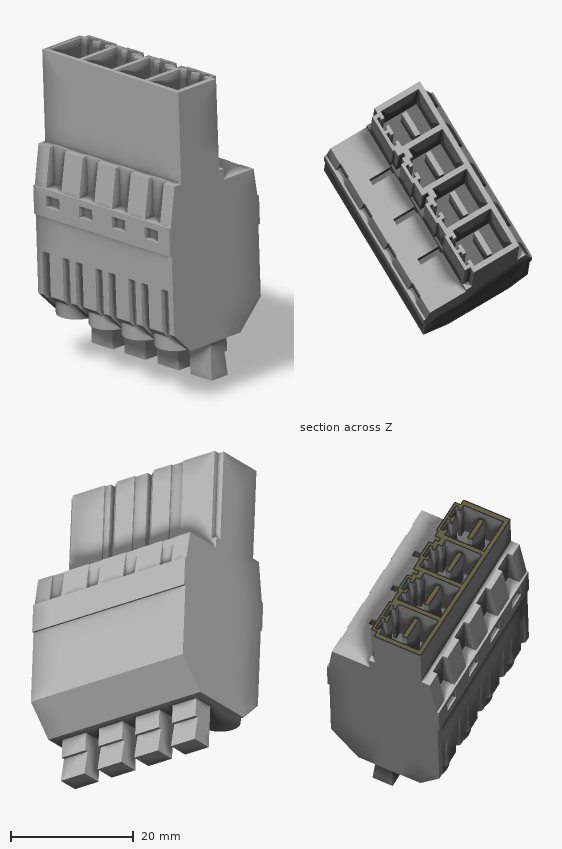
import cadquery as cq


WIDTH = 31.53
TILT = 2.5
POLES = 4
PITCH = 7.62
FIRST_POLE = 4.42
FIRST_CHAMBER = 4.3

TOP_Z = 0
SHOULDER_Z = -15.9
SHELF_Z = -17.81
BAND_TOP_Z = -22.74
BAND_BOTTOM_Z = -27.7
BODY_BOTTOM_Z = -45.1
PIN_BOTTOM_Z = -52.5

BAND_Y = 10.3
BODY_Y = 9.95
TOWER_FRONT_Y = -7.26
TOWER_BACK_Y = 2.44
SHOULDER_Y = -8.8
SHELF_Y = 9.27
FRONT_CHAMFER = 3.55
BACK_CHAMFER = 4.9

CHAMBER_WIDTH = 6.75
CHAMBER_FRONT_Y = -6.42
CHAMBER_BACK_Y = 0.8
CHAMBER_DEPTH = 17
CORNER_NOTCH_WIDTH = 1.05
CORNER_NOTCH_Y = 1.4
BLADE_WIDTH = 4.4
BLADE_Y = (-3.6, -2.72)
BLADE_TOP_Z = -8

KEY_HEAD_WIDTH = 2.4
KEY_HEAD_Y = (1.38, 1.93)
KEY_STEM_WIDTH = 1.3
KEY_PAIR_OFFSET = 1.48
INNER_LEDGE_X = 1.9
INNER_LEDGE_Y = 0.1
INNER_REBATE_X = -1.75
INNER_REBATE_Y = 1.46

GROOVE_WIDTH = 2.5
LAST_GROOVE_WIDTH = 1.1
GROOVE_Y = 2.12
SEAM_NOTCH_WIDTH = 1.45
SEAM_NOTCH_Y = 1.75
SEAM_STEP_WIDTH = 0.65
SEAM_STEP_Y = 1.07
SEAM_OFFSET = -0.55

SHELF_SLOT_WIDTH = 1.1
SHELF_SLOT_END_Y = 6.48
SHELF_SLOT_DEPTH = 3

FRONT_RECESS_WIDTH = 3.5
FRONT_RECESS_Y = -7.9
BACK_RECESS_WIDTH = 2.5
BACK_RECESS_Y = 9.13
WINDOW_WIDTH = 3.1
WINDOW_HEIGHT = 2.05
WINDOW_TOP_Z = -23.83
WINDOW_DEPTH = 1.2

BARREL_RADIUS = 3.6
BARREL_Y = -5.4
BARREL_TOP_Z = -34.0
SLOT_INNER_X = 1.5
SLOT_OUTER_X = 3.15
SLOT_BACK_Y = -7.1

PIN_WIDTH = 4.9
PIN_Y = (-0.1, 3.64)
PIN_NOTCH_DEPTH = 0.6
PIN_NOTCH_Z = -48.3


def block(x_range, y_range, z_range):
    """Box between pairs of X, Y and Z limits."""
    x0, x1 = x_range
    y0, y1 = y_range
    z0, z1 = z_range
    return cq.Workplane("XY").box(x1 - x0, y1 - y0, z1 - z0, centered=False).translate((x0, y0, z0))


def centred_block(x, width, y_range, z_range):
    """Box of the given width, centred on x."""
    return block((x - width / 2, x + width / 2), y_range, z_range)


def extruded_profile(points, start_x, width):
    """Prism along X from (y, z) points."""
    return cq.Workplane("YZ").polyline(points).close().extrude(width).translate((start_x, 0, 0))


def housing():
    points = [
        (TOWER_FRONT_Y, TOP_Z),
        (TOWER_BACK_Y, TOP_Z),
        (TOWER_BACK_Y, SHELF_Z),
        (SHELF_Y, SHELF_Z),
        (BODY_Y, BAND_TOP_Z),
        (BAND_Y, BAND_TOP_Z),
        (BAND_Y, BAND_BOTTOM_Z),
        (BODY_Y, BAND_BOTTOM_Z),
        (BODY_Y, BODY_BOTTOM_Z + BACK_CHAMFER),
        (BODY_Y - BACK_CHAMFER, BODY_BOTTOM_Z),
        (-BODY_Y + FRONT_CHAMFER, BODY_BOTTOM_Z),
        (-BODY_Y, BODY_BOTTOM_Z + FRONT_CHAMFER),
        (-BODY_Y, BAND_BOTTOM_Z),
        (-BAND_Y, BAND_BOTTOM_Z),
        (-BAND_Y, BAND_TOP_Z),
        (-BODY_Y, BAND_TOP_Z),
        (SHOULDER_Y, SHOULDER_Z),
        (TOWER_FRONT_Y, SHOULDER_Z),
    ]
    return extruded_profile(points, 0, WIDTH)


def key_slot(x):
    """T-shaped slot, open to the chamber through its stem."""
    depth = (-CHAMBER_DEPTH, TOP_Z)
    head = centred_block(x, KEY_HEAD_WIDTH, KEY_HEAD_Y, depth)
    stem = centred_block(x, KEY_STEM_WIDTH, (CHAMBER_BACK_Y, KEY_HEAD_Y[1]), depth)
    return head.union(stem)


def chamber(pole):
    """Plug chamber with its key slots: two in the end poles, one in the inner poles."""
    x = FIRST_CHAMBER + pole * PITCH
    left = x - CHAMBER_WIDTH / 2
    right = x + CHAMBER_WIDTH / 2
    depth = (-CHAMBER_DEPTH, TOP_Z)
    space = block((left, right), (CHAMBER_FRONT_Y, CHAMBER_BACK_Y), depth)
    if pole in (0, POLES - 1):
        for offset in (-KEY_PAIR_OFFSET, KEY_PAIR_OFFSET):
            space = space.union(key_slot(x + offset))
    else:
        ledge = block((x + INNER_LEDGE_X, right), (INNER_LEDGE_Y, CHAMBER_BACK_Y), depth)
        rebate = block((left, x + INNER_REBATE_X), (CHAMBER_BACK_Y, INNER_REBATE_Y), depth)
        space = space.cut(ledge).union(rebate).union(key_slot(x))
    blade = centred_block(x, BLADE_WIDTH, BLADE_Y, (-CHAMBER_DEPTH, BLADE_TOP_Z))
    return space.cut(blade)


def corner_notches():
    back = (CORNER_NOTCH_Y, TOWER_BACK_Y)
    height = (SHOULDER_Z, TOP_Z)
    left = block((0, CORNER_NOTCH_WIDTH), back, height)
    right = block((WIDTH - CORNER_NOTCH_WIDTH, WIDTH), back, height)
    return left.union(right)


def seam_notch(seam):
    """Coding notch behind the seam that follows the given pole."""
    x = FIRST_CHAMBER + (seam + 0.5) * PITCH + SEAM_OFFSET
    height = (SHOULDER_Z, TOP_Z)
    groove_width = LAST_GROOVE_WIDTH if seam == POLES - 2 else GROOVE_WIDTH
    notch = block((x, x + groove_width), (GROOVE_Y, TOWER_BACK_Y), height)
    if seam > 0:
        wide = block((x - SEAM_NOTCH_WIDTH, x), (SEAM_NOTCH_Y, TOWER_BACK_Y), height)
        step = block((x - SEAM_STEP_WIDTH, x), (SEAM_STEP_Y, TOWER_BACK_Y), height)
        notch = notch.union(wide).union(step)
    return notch


def shelf_slot(seam):
    x = FIRST_CHAMBER + (seam + 0.5) * PITCH
    height = (SHELF_Z - SHELF_SLOT_DEPTH, SHELF_Z)
    return centred_block(x, SHELF_SLOT_WIDTH, (TOWER_BACK_Y, SHELF_SLOT_END_Y), height)


def grip_recesses(x):
    front = centred_block(x, FRONT_RECESS_WIDTH, (-BAND_Y, FRONT_RECESS_Y), (BAND_TOP_Z, SHOULDER_Z))
    back = centred_block(x, BACK_RECESS_WIDTH, (BACK_RECESS_Y, BAND_Y), (BAND_TOP_Z, SHELF_Z))
    return front.union(back)


def window(x):
    height = (WINDOW_TOP_Z - WINDOW_HEIGHT, WINDOW_TOP_Z)
    return centred_block(x, WINDOW_WIDTH, (-BAND_Y, -BAND_Y + WINDOW_DEPTH), height)


def barrel_slots(x):
    depth = (-BODY_Y, SLOT_BACK_Y)
    height = (BODY_BOTTOM_Z, BARREL_TOP_Z)
    left = block((x - SLOT_OUTER_X, x - SLOT_INNER_X), depth, height)
    right = block((x + SLOT_INNER_X, x + SLOT_OUTER_X), depth, height)
    return left.union(right)


def barrel(x):
    height = BARREL_TOP_Z - BODY_BOTTOM_Z
    return cq.Workplane("XY").circle(BARREL_RADIUS).extrude(height).translate((x, BARREL_Y, BODY_BOTTOM_Z))


def pin(x):
    """Flat pin with a barbed notch in its back edge."""
    front, back = PIN_Y
    points = [
        (front, BODY_BOTTOM_Z),
        (back, BODY_BOTTOM_Z),
        (back, PIN_NOTCH_Z),
        (back - PIN_NOTCH_DEPTH, PIN_NOTCH_Z),
        (back, PIN_BOTTOM_Z),
        (front, PIN_BOTTOM_Z),
    ]
    return extruded_profile(points, x - PIN_WIDTH / 2, PIN_WIDTH)


part = housing().cut(corner_notches())
for pole in range(POLES):
    pole_x = FIRST_POLE + pole * PITCH
    part = part.cut(chamber(pole))
    part = part.cut(grip_recesses(pole_x)).cut(window(pole_x)).cut(barrel_slots(pole_x))
    part = part.union(barrel(pole_x)).union(pin(pole_x))
for seam in range(POLES - 1):
    part = part.cut(seam_notch(seam)).cut(shelf_slot(seam))

result = part.rotate((0, 0, 0), (0, 1, 0), -TILT)